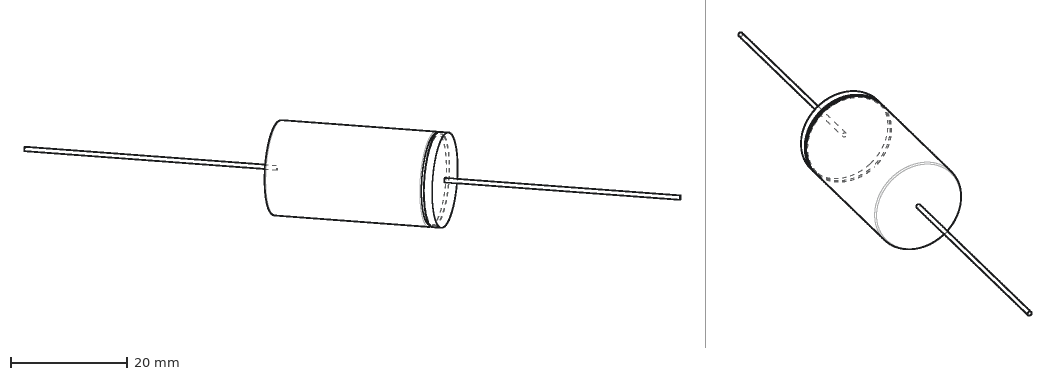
import cadquery as cq

body_diameter = 16.5
body_length = 30.0
lead_diameter = 0.8
left_lead_length = 45.0
right_lead_length = 42.0

rim_length = 1.5
neck_length = 0.5
neck_depth = 0.3
sleeve_length = body_length - rim_length - neck_length
neck_diameter = body_diameter - 2 * neck_depth

sleeve_edge_radius = 0.25

overall_length = left_lead_length + body_length + right_lead_length
left_tip_x = -overall_length / 2
body_start_x = left_tip_x + left_lead_length
body_end_x = body_start_x + body_length


def cylinder_along_x(start_x, length, diameter):
    return cq.Workplane("YZ").workplane(offset=start_x).circle(diameter / 2).extrude(length)


def make_sleeve():
    sleeve = cylinder_along_x(body_start_x, sleeve_length, body_diameter)
    return sleeve.faces("<X or >X").edges().fillet(sleeve_edge_radius)


def make_neck():
    return cylinder_along_x(body_start_x + sleeve_length, neck_length, neck_diameter)


def make_rim():
    return cylinder_along_x(body_end_x - rim_length, rim_length, body_diameter)


def make_lead_wire():
    return cylinder_along_x(left_tip_x, overall_length, lead_diameter)


result = make_sleeve().union(make_neck()).union(make_rim()).union(make_lead_wire())